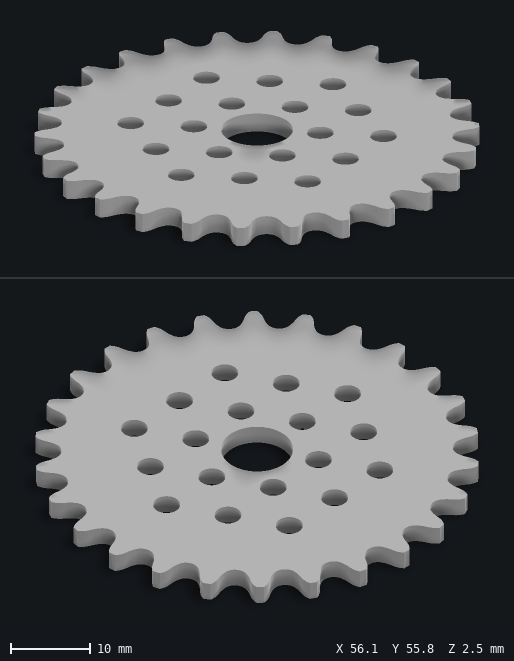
import cadquery as cq
import math

tooth_count = 26
outer_radius = 28.05
thickness = 2.5
roller_diameter = 3.3
seating_clearance = 0.01
bore_diameter = 9.1
hole_diameter = 3.4
hole_spacing = 8.0
hole_rings = 2

tip_height_per_pitch = 0.6
seating_radius_per_roller = 0.5025
working_offset_per_roller = 0.8
topping_offset_per_roller = 1.4

seating_angle = 35 + 60 / tooth_count
working_angle = 18 - 56 / tooth_count

tooth_angle = 360 / tooth_count
half_tooth_angle = tooth_angle / 2
half_tooth_radians = math.radians(half_tooth_angle)
chain_pitch = 2 * outer_radius / (tip_height_per_pitch + 1 / math.tan(half_tooth_radians))
pitch_radius = chain_pitch / 2 / math.sin(half_tooth_radians)

seating_radius = seating_radius_per_roller * roller_diameter + seating_clearance
working_center_offset = working_offset_per_roller * roller_diameter
working_radius = working_center_offset + seating_radius
topping_center_offset = topping_offset_per_roller * roller_diameter


def polar(radius, degrees, center=(0, 0)):
    """Point at a distance and direction from a center."""
    angle = math.radians(degrees)
    return (center[0] + radius * math.cos(angle), center[1] + radius * math.sin(angle))


def tooth_flank():
    """Points up the flank of the +X tooth, from the end of the roller seat to the tip corner."""
    gap_tangent = 90 - half_tooth_angle
    seat_end = gap_tangent + seating_angle
    flank_normal = seat_end - working_angle

    gap_center = polar(pitch_radius, -half_tooth_angle)
    working_center = polar(-working_center_offset, seat_end, gap_center)
    topping_center = polar(topping_center_offset, 90, gap_center)

    normal = polar(1, flank_normal)
    offset_x = topping_center[0] - working_center[0]
    offset_y = topping_center[1] - working_center[1]
    topping_radius = offset_x * normal[0] + offset_y * normal[1] - working_radius

    center_distance = math.hypot(*topping_center)
    center_bearing = math.degrees(math.atan2(topping_center[1], topping_center[0]))
    tip_cosine = (outer_radius**2 - center_distance**2 - topping_radius**2) / (
        2 * center_distance * topping_radius
    )
    topping_start = flank_normal - 180
    topping_end = center_bearing - math.degrees(math.acos(tip_cosine))

    return [
        polar(seating_radius, seat_end, gap_center),
        polar(working_radius, seat_end - working_angle / 2, working_center),
        polar(working_radius, flank_normal, working_center),
        polar(topping_radius, topping_start, topping_center),
        polar(topping_radius, (topping_start + topping_end) / 2, topping_center),
        polar(topping_radius, topping_end, topping_center),
    ]


def rotated(point, degrees):
    """Point turned about the sprocket axis."""
    bearing = math.degrees(math.atan2(point[1], point[0]))
    return polar(math.hypot(*point), bearing + degrees)


def sprocket_blank():
    """Toothed plate without any holes."""
    rising = tooth_flank()
    falling = [(x, -y) for x, y in reversed(rising)]
    tip = (outer_radius, 0)
    root = polar(pitch_radius - seating_radius, half_tooth_angle)
    next_seat_end = rotated(rising[0], tooth_angle)

    outline = cq.Workplane("XY").moveTo(*rising[0])
    for tooth in range(tooth_count):
        turn = tooth * tooth_angle
        up = [rotated(point, turn) for point in rising]
        down = [rotated(point, turn) for point in falling]
        outline = (
            outline.threePointArc(up[1], up[2])
            .lineTo(*up[3])
            .threePointArc(up[4], up[5])
            .threePointArc(rotated(tip, turn), down[0])
            .threePointArc(down[1], down[2])
            .lineTo(*down[3])
            .threePointArc(down[4], down[5])
            .threePointArc(rotated(root, turn), rotated(next_seat_end, turn))
        )
    return outline.close().extrude(thickness)


def hole_centers():
    """Triangular grid filling a hexagon around the bore, without the center position."""
    centers = []
    row_spacing = hole_spacing * math.sqrt(3) / 2
    for row in range(-hole_rings, hole_rings + 1):
        holes_in_row = 2 * hole_rings + 1 - abs(row)
        for index in range(holes_in_row):
            column = index - (holes_in_row - 1) / 2
            if row != 0 or column != 0:
                centers.append((column * hole_spacing, row * row_spacing))
    return centers


bore = cq.Workplane("XY").circle(bore_diameter / 2).extrude(thickness)
small_holes = cq.Workplane("XY").pushPoints(hole_centers()).circle(hole_diameter / 2).extrude(thickness)

result = sprocket_blank().cut(bore).cut(small_holes)